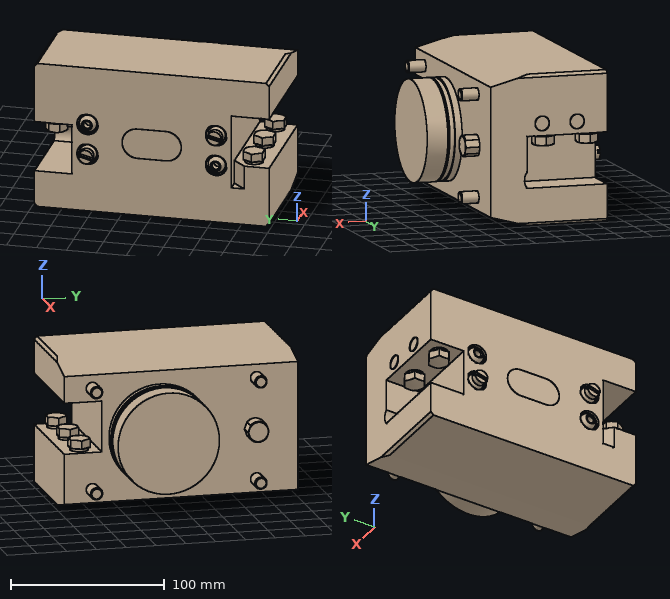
import cadquery as cq
import math


BODY_X = 80.0
BODY_Y = 157.0
BODY_Z = 100.0
TAPER_START_X = 53.9
TAPER_DROP = 7.0
EDGE_CHAMFER = 2.0

SLOT_DEPTH = 25.2
SLOT_REACH_Z = 25.0
CLAMP_FACE_Z = 9.1
RELIEF_WIDTH = 8.5
STOP_WALL_X = 55.0
STOP_ARC_TOP_Z = -14.3
STOP_ARC_RADIUS = 8.8

BOLT_FIRST_X = 10.1
BOLT_PITCH = 30.1
BOLT_INSET_Y = 12.5
BOLT_NECK_DIAMETER = 12.0
BOLT_NECK_HEIGHT = 1.9
BOLT_CORNER_DIAMETER = 15.0
BOLT_SHOULDER_HEIGHT = 7.4
BOLT_HEIGHT = 8.8

NOZZLE_Y = 43.0
NOZZLE_Z = 10.4
SEAT_DIAMETER = 14.0
SEAT_DEPTH = 2.0
BALL_DIAMETER = 12.0
BALL_CENTER_X = 3.5
BALL_FLAT_X = -1.4
NOZZLE_BORE_DIAMETER = 4.9
NOZZLE_BORE_DEPTH = 6.3
NOZZLE_BORE_CHAMFER = 0.8
PLUG_HEAD_DIAMETER = 9.5
PLUG_HEAD_HEIGHT = 4.0
PLUG_SLOT_WIDTH = 2.0
PLUG_SLOT_DEPTH = 1.7
PLUG_SLOT_ANGLE = 15

PANEL_LENGTH = 39.5
PANEL_HEIGHT = 20.5
PANEL_DEPTH = 0.2

SHANK_Y = -14.5
SHANK_DIAMETER = 68.0
SHANK_LENGTH = 24.0
GROOVE_DIAMETER = 65.8
GROOVE_START = 4.7
GROOVE_WIDTH = 4.1
GROOVE_LEAD_WIDTH = 1.0
RING_DIAMETER = 67.9
RING_WIDTH = 3.3

SCREW_DIAMETER = 8.0
SCREW_LENGTH = 12.0
SCREW_CHAMFER = 0.6
SCREW_YS = (-59.7, 50.5)
SCREW_Z = 34.0
PIN_Y = 49.5
PIN_DIAMETER = 14.0
PIN_LENGTH = 9.8
PIN_ARC_HALF_WIDTH = 5.4
PIN_CHAMFER = 0.5

DISC_XS = (20.8, 44.7)
DISC_Z = 17.3
DISC_DIAMETER = 9.6
DISC_HEIGHT = 0.5

OVERLAP = 1.5

HALF_Y = BODY_Y / 2
HALF_Z = BODY_Z / 2
SLOT_WALL_Y = HALF_Y - SLOT_DEPTH
BOLT_Y = HALF_Y - BOLT_INSET_Y


def box(x_range, y_range, z_range):
    sizes = [high - low for low, high in (x_range, y_range, z_range)]
    corner = (x_range[0], y_range[0], z_range[0])
    return cq.Workplane("XY").box(*sizes, centered=False).translate(corner)


def rod(x_start, x_end, diameter, y=0.0, z=0.0):
    """Round bar along X."""
    circle = cq.Workplane("YZ", origin=(x_start, y, z)).circle(diameter / 2)
    return circle.extrude(x_end - x_start)


def make_body():
    block = box((0, BODY_X), (-HALF_Y, HALF_Y), (-HALF_Z, HALF_Z)).edges("|X").chamfer(EDGE_CHAMFER)
    end_z = HALF_Z - TAPER_DROP
    side_outline = [
        (0, -HALF_Z),
        (TAPER_START_X, -HALF_Z),
        (BODY_X, -end_z),
        (BODY_X, end_z),
        (TAPER_START_X, HALF_Z),
        (0, HALF_Z),
    ]
    side = cq.Workplane("XZ").polyline(side_outline).close().extrude(HALF_Y, both=True)
    return block.intersect(side)


def through_slot():
    """Slot in the -Y end, with a 45 degree relief notch in its lower jaw."""
    opening = box((0, BODY_X), (-HALF_Y, -SLOT_WALL_Y), (-CLAMP_FACE_Z, SLOT_REACH_Z))
    notch_outline = [
        (0, -SLOT_WALL_Y),
        (0, -SLOT_WALL_Y - RELIEF_WIDTH),
        (RELIEF_WIDTH, -SLOT_WALL_Y),
    ]
    notch = cq.Workplane("XY", origin=(0, 0, -SLOT_REACH_Z)).polyline(notch_outline).close()
    return opening.union(notch.extrude(2 * SLOT_REACH_Z))


def stopped_slot():
    """Slot in the +Y end, closed by a stop wall with a hollow along its foot."""
    arc_half_height = (STOP_ARC_TOP_Z + SLOT_REACH_Z) / 2
    arc_mid_z = STOP_ARC_TOP_Z - arc_half_height
    hollow_depth = STOP_ARC_RADIUS - math.sqrt(STOP_ARC_RADIUS**2 - arc_half_height**2)
    profile = (
        cq.Workplane("XZ", origin=(0, HALF_Y, 0))
        .moveTo(0, CLAMP_FACE_Z)
        .lineTo(STOP_WALL_X, CLAMP_FACE_Z)
        .lineTo(STOP_WALL_X, STOP_ARC_TOP_Z)
        .threePointArc((STOP_WALL_X + hollow_depth, arc_mid_z), (STOP_WALL_X, -SLOT_REACH_Z))
        .lineTo(0, -SLOT_REACH_Z)
        .close()
    )
    return profile.extrude(SLOT_DEPTH)


def clamping_bolt():
    """Hexagon bolt standing on Z = 0, with a domed head."""
    neck = cq.Workplane("XY").workplane(offset=-OVERLAP).circle(BOLT_NECK_DIAMETER / 2)
    neck = neck.extrude(BOLT_NECK_HEIGHT + OVERLAP)
    head = cq.Workplane("XY").workplane(offset=BOLT_NECK_HEIGHT).polygon(6, BOLT_CORNER_DIAMETER)
    head = head.extrude(BOLT_HEIGHT - BOLT_NECK_HEIGHT)
    rise = BOLT_HEIGHT - BOLT_SHOULDER_HEIGHT
    corner_radius = BOLT_CORNER_DIAMETER / 2
    dome_radius = (corner_radius**2 + rise**2) / (2 * rise)
    dome = cq.Workplane("XY").sphere(dome_radius).translate((0, 0, BOLT_HEIGHT - dome_radius))
    return neck.union(head.intersect(dome))


def ball():
    """Ball on the X axis, flattened where it stands out of the body."""
    sphere = cq.Workplane("XY").sphere(BALL_DIAMETER / 2).translate((BALL_CENTER_X, 0, 0))
    return sphere.intersect(rod(BALL_FLAT_X, BALL_CENTER_X + BALL_DIAMETER, BALL_DIAMETER))


def nozzle_bore():
    """Blind bore with a countersunk mouth, as a solid to cut away."""
    radius = NOZZLE_BORE_DIAMETER / 2
    mouth_radius = radius + NOZZLE_BORE_CHAMFER
    half_profile = [
        (0, 0),
        (0, mouth_radius),
        (NOZZLE_BORE_CHAMFER, radius),
        (NOZZLE_BORE_DEPTH, radius),
        (NOZZLE_BORE_DEPTH, 0),
    ]
    bore = cq.Workplane("XY").polyline(half_profile).close().revolve(360, (0, 0, 0), (1, 0, 0))
    return bore.translate((BALL_FLAT_X, 0, 0))


def plug_head():
    """Slotted head of the screw that closes a nozzle."""
    head_x = BALL_FLAT_X - PLUG_HEAD_HEIGHT
    slot = cq.Workplane("XY").box(2 * PLUG_SLOT_DEPTH, 2 * PLUG_HEAD_DIAMETER, PLUG_SLOT_WIDTH)
    slot = slot.rotate((0, 0, 0), (1, 0, 0), PLUG_SLOT_ANGLE).translate((head_x, 0, 0))
    return rod(head_x, BALL_FLAT_X, PLUG_HEAD_DIAMETER).cut(slot)


def make_shank():
    """Turned shank, with the sealing ring as a round bulge on the groove floor."""
    radius = SHANK_DIAMETER / 2
    floor_radius = GROOVE_DIAMETER / 2
    ring_radius = RING_DIAMETER / 2
    groove_end = GROOVE_START + GROOVE_WIDTH
    lead_end = groove_end + GROOVE_LEAD_WIDTH
    half_profile = (
        cq.Workplane("XY")
        .moveTo(-OVERLAP, 0)
        .lineTo(-OVERLAP, radius)
        .lineTo(GROOVE_START, radius)
        .lineTo(GROOVE_START, floor_radius)
        .threePointArc(
            (GROOVE_START + RING_WIDTH / 2, ring_radius),
            (GROOVE_START + RING_WIDTH, floor_radius),
        )
        .lineTo(groove_end, floor_radius)
        .lineTo(groove_end, ring_radius)
        .lineTo(lead_end, ring_radius)
        .lineTo(lead_end, radius)
        .lineTo(SHANK_LENGTH, radius)
        .lineTo(SHANK_LENGTH, 0)
        .close()
    )
    shank = half_profile.revolve(360, (0, 0, 0), (1, 0, 0))
    return shank.translate((BODY_X, SHANK_Y, 0))


def mounting_screw(y, z):
    screw = rod(BODY_X - OVERLAP, BODY_X + SCREW_LENGTH, SCREW_DIAMETER, y, z)
    return screw.faces(">X").chamfer(SCREW_CHAMFER)


def locating_pin():
    """Diamond pin: round above and below, pointed towards +Y and -Y."""
    radius = PIN_DIAMETER / 2
    arc_end_z = math.sqrt(radius**2 - PIN_ARC_HALF_WIDTH**2)
    peak_z = arc_end_z * radius / (radius - PIN_ARC_HALF_WIDTH)
    diamond = cq.Workplane("YZ", origin=(BODY_X - OVERLAP, PIN_Y, 0))
    diamond = diamond.polyline([(radius, 0), (0, peak_z), (-radius, 0), (0, -peak_z)]).close()
    diamond = diamond.extrude(PIN_LENGTH + OVERLAP)
    pin = rod(BODY_X - OVERLAP, BODY_X + PIN_LENGTH, PIN_DIAMETER, PIN_Y)
    return pin.faces(">X").chamfer(PIN_CHAMFER).intersect(diamond)


def plug_disc(x):
    start = cq.Workplane("XZ", origin=(x, HALF_Y + DISC_HEIGHT, DISC_Z))
    return start.circle(DISC_DIAMETER / 2).extrude(DISC_HEIGHT + OVERLAP)


result = make_body().cut(through_slot()).cut(stopped_slot())

panel = cq.Workplane("YZ").slot2D(PANEL_LENGTH, PANEL_HEIGHT).extrude(PANEL_DEPTH)
result = result.cut(panel)

for number in range(3):
    bolt_x = BOLT_FIRST_X + number * BOLT_PITCH
    result = result.union(clamping_bolt().translate((bolt_x, -BOLT_Y, -CLAMP_FACE_Z)))

hanging_bolt = clamping_bolt().rotate((0, 0, 0), (0, 0, 1), 90).rotate((0, 0, 0), (1, 0, 0), 180)
for number in range(2):
    bolt_x = BOLT_FIRST_X + number * BOLT_PITCH
    result = result.union(hanging_bolt.translate((bolt_x, BOLT_Y, CLAMP_FACE_Z)))

for side_y in (-1, 1):
    for side_z in (-1, 1):
        place = (0, side_y * NOZZLE_Y, side_z * NOZZLE_Z)
        result = result.cut(rod(0, SEAT_DEPTH, SEAT_DIAMETER).translate(place))
        result = result.union(ball().translate(place))
        is_open = side_y == side_z
        if is_open:
            result = result.cut(nozzle_bore().translate(place))
        else:
            result = result.union(plug_head().translate(place))

result = result.union(make_shank()).union(locating_pin())

for y in SCREW_YS:
    for z in (-SCREW_Z, SCREW_Z):
        result = result.union(mounting_screw(y, z))

for x in DISC_XS:
    result = result.union(plug_disc(x))